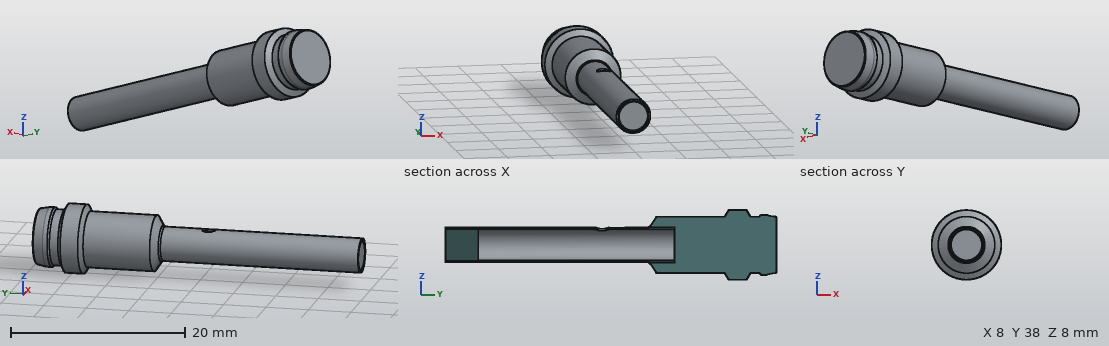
import cadquery as cq

overall_length = 38.0

body_dia = 6.5
ridge_dia = 6.9
flange_dia = 8.0
lip_dia = 4.2

back_chamfer = 0.1
ridge_start = 1.2
ridge_end = 1.8
neck_start = 2.0
neck_end = 3.0
flange_start = 3.45
flange_end = 5.5
body_start = 5.95
body_end = 13.8
lip_start = 14.55
housing_length = 14.8

tube_dia = 4.0
tube_bore = 3.55
tube_insertion = 3.05
cross_hole_dia = 1.5
cross_hole_from_tip = 17.97

plug_length = 3.8
plug_face_dia = 3.35
plug_chamfer = (tube_bore - plug_face_dia) / 2

tip_y = -overall_length
tube_back_y = tube_insertion - housing_length


def cylinder(diameter, start_y, length):
    """Cylinder on the Y axis, running from start_y toward +Y."""
    base = cq.Workplane("XZ", origin=(0, start_y, 0))
    return base.circle(diameter / 2).extrude(-length)


def make_housing():
    """Turned housing with a snap ridge, a neck, a flange and a blind socket for the tube."""
    steps = [
        (body_dia - 2 * back_chamfer, 0),
        (body_dia, back_chamfer),
        (ridge_dia, ridge_start),
        (ridge_dia, ridge_end),
        (body_dia, neck_start),
        (body_dia, neck_end),
        (flange_dia, flange_start),
        (flange_dia, flange_end),
        (body_dia, body_start),
        (body_dia, body_end),
        (lip_dia, lip_start),
        (tube_dia, housing_length),
    ]
    outline = [(diameter / 2, -distance) for diameter, distance in steps]
    profile = cq.Workplane("XY").polyline([(0, 0), *outline, (0, -housing_length)]).close()
    turned = profile.revolve(360, (0, 0, 0), (0, 1, 0))

    socket = cylinder(tube_dia, -housing_length, tube_insertion)
    return turned.cut(socket)


def make_tube():
    """Thin tube with a cross hole through its upper wall."""
    length = tube_back_y - tip_y
    tube = cylinder(tube_dia, tip_y, length).cut(cylinder(tube_bore, tip_y, length))
    hole_plane = cq.Workplane("XY", origin=(0, tip_y + cross_hole_from_tip, 0))
    cross_hole = hole_plane.circle(cross_hole_dia / 2).extrude(tube_dia)
    return tube.cut(cross_hole)


def make_plug():
    """Plug flush with the tube tip, with a small chamfer around its outer face."""
    return cylinder(tube_bore, tip_y, plug_length).faces("<Y").chamfer(plug_chamfer)


housing = make_housing()
tube = make_tube()
plug = make_plug()

result = cq.Compound.makeCompound([housing.val(), tube.val(), plug.val()])